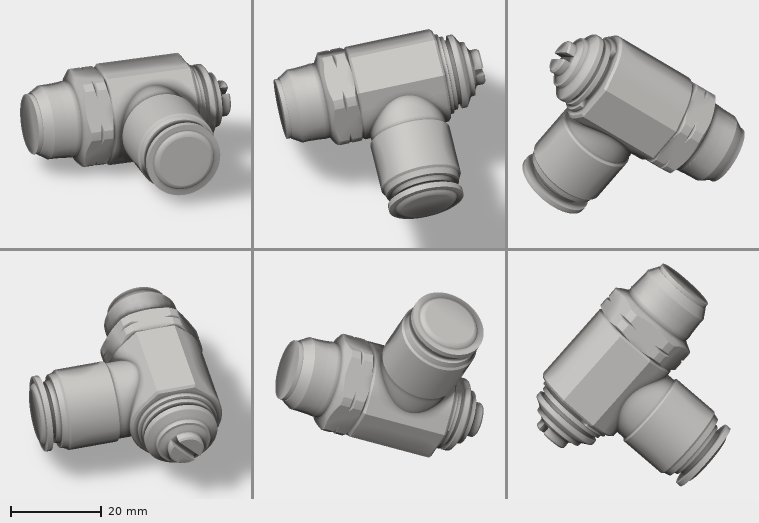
import cadquery as cq
import math


overall_length_y = 45.81
overall_length_x = 40.84

body_half_length = 10.0
body_radius = 10.5
body_chamfer = 0.5
corner_half_angle = math.radians(22.5)

nut_sides = 6
nut_end_y = -17.05
nut_across_flats = 20.0
nut_corner_radius = 11.0
nut_chamfer_angle = math.radians(30)
nut_rim_clearance = 0.55
nut_groove_root_radius = 10.35
nut_groove_y = -13.0

shank_radius = 8.5
shank_end_y = -18.0
thread_start_radius = 8.58
thread_gauge_radius = 8.35
thread_gauge_y = -20.35
thread_end_radius = 8.28
thread_end_y = -23.3
nose_cone_radius = 6.95
nose_radius = 6.76
nose_start_y = -25.5
nose_end_y = -26.53

collar_radius = 9.0
collar_end_y = 11.0
flange_start_y = 11.1
flange_radius = 8.28
flange_groove_radius = 7.25
flange_groove_start_y = 12.05
flange_groove_end_y = 13.05
flange_shoulder_y = 14.0
flange_cone_radius = 8.05
flange_cone_y = 14.4
hub_base_radius = 6.2
hub_base_y = 15.5
hub_top_radius = 6.05
hub_top_y = 16.5
cap_base_radius = 5.45
stem_radius = 4.0
stem_start_y = 17.3
stem_end_y = nose_end_y + overall_length_y
stem_chamfer = 0.4
stem_slot_width = 1.6
stem_slot_angle = 49.5

collar_gap_angle = 241.2
collar_gap_apex = 3.73
collar_gap_half_opening = math.radians(75.7)
collar_gap_reach = 2 * collar_radius

neck_radius = 8.5
neck_end_x = 12.43
socket_radius = 9.05
socket_start_x = 12.87
socket_end_x = 23.85
socket_ring_x = 24.3
socket_ring_radius = 8.6
socket_ring_end_radius = 8.27
socket_ring_end_x = 25.58
guide_start_radius = 7.17
guide_end_radius = 6.9
guide_end_x = 26.68
sleeve_radius = 6.02
sleeve_flare_x = 27.4
sleeve_flare_radius = 6.2
release_ring_radius = 8.5
release_ring_start_x = 27.83
release_ring_end_x = 29.05
release_lip_radius = 7.0
release_mid_radius = 6.6
release_mid_x = 29.5
release_end_radius = 5.9
release_end_x = overall_length_x - nut_corner_radius


def axial_prism(outline, start_y, end_y):
    """Extrude an XZ outline, given as (x, z) points, from start_y to end_y."""
    plane = cq.Workplane("XZ", origin=(0, end_y, 0))
    return plane.polyline(outline).close().extrude(end_y - start_y)


def axial_cylinder(radius, start_y, end_y):
    """Cylinder on the main axis."""
    return cq.Workplane("XZ", origin=(0, end_y, 0)).circle(radius).extrude(end_y - start_y)


def revolve_about_y(profile):
    """Revolve a closed (radius, y) profile about the main axis."""
    return profile.close().revolve(360, (0, 0, 0), (0, 1, 0))


def make_body():
    corner = body_radius * math.tan(corner_half_angle)
    tangent = body_radius * math.cos(2 * corner_half_angle)
    corners_outline = [
        (tangent, tangent),
        (corner, body_radius),
        (-corner, body_radius),
        (-tangent, tangent),
        (-tangent, -tangent),
        (-corner, -body_radius),
        (corner, -body_radius),
        (tangent, -tangent),
    ]
    outline = (
        cq.Workplane("XZ", origin=(0, body_half_length, 0))
        .polyline(corners_outline[:4])
        .threePointArc((-body_radius, 0), corners_outline[4])
        .polyline(corners_outline[4:])
        .threePointArc((body_radius, 0), corners_outline[0])
        .close()
    )
    body = outline.extrude(2 * body_half_length)
    return body.faces("<Y or >Y").chamfer(body_chamfer)


def make_nut():
    circumradius = nut_across_flats / 2 / math.cos(math.pi / nut_sides)
    corners = []
    for index in range(nut_sides):
        angle = 2 * math.pi * index / nut_sides
        corners.append((circumradius * math.cos(angle), circumradius * math.sin(angle)))
    hexagon = axial_prism(corners, nut_end_y, -body_half_length)

    chamfer_slope = math.tan(nut_chamfer_angle)
    rim_top_y = -body_half_length - nut_rim_clearance
    top_radius = nut_corner_radius - nut_rim_clearance / chamfer_slope
    rim_bottom_y = nut_end_y + (nut_corner_radius - shank_radius) * chamfer_slope
    groove_half_width = (nut_corner_radius - nut_groove_root_radius) * chamfer_slope
    envelope = (
        cq.Workplane("XY")
        .moveTo(0, -body_half_length)
        .lineTo(top_radius, -body_half_length)
        .lineTo(nut_corner_radius, rim_top_y)
        .lineTo(nut_corner_radius, nut_groove_y + groove_half_width)
        .lineTo(nut_groove_root_radius, nut_groove_y)
        .lineTo(nut_corner_radius, nut_groove_y - groove_half_width)
        .lineTo(nut_corner_radius, rim_bottom_y)
        .lineTo(shank_radius, nut_end_y)
        .lineTo(0, nut_end_y)
    )
    return hexagon.intersect(revolve_about_y(envelope))


def make_threaded_end():
    profile = (
        cq.Workplane("XY")
        .moveTo(0, nut_end_y)
        .lineTo(shank_radius, nut_end_y)
        .lineTo(shank_radius, shank_end_y)
        .lineTo(thread_start_radius, shank_end_y)
        .lineTo(thread_gauge_radius, thread_gauge_y)
        .lineTo(thread_end_radius, thread_end_y)
        .lineTo(nose_cone_radius, nose_start_y)
        .lineTo(nose_radius, nose_start_y)
        .lineTo(nose_radius, nose_end_y)
        .lineTo(0, nose_end_y)
    )
    return revolve_about_y(profile)


def make_collar():
    gap_x = collar_gap_reach * math.cos(collar_gap_half_opening)
    gap_z = collar_gap_reach * math.sin(collar_gap_half_opening)
    gap_outline = [
        (collar_gap_apex, 0),
        (collar_gap_apex + gap_x, gap_z),
        (collar_gap_apex + gap_x + collar_gap_reach, 0),
        (collar_gap_apex + gap_x, -gap_z),
    ]
    gap = axial_prism(gap_outline, body_half_length, collar_end_y)
    gap = gap.rotate((0, 0, 0), (0, 1, 0), -collar_gap_angle)
    return axial_cylinder(collar_radius, body_half_length, collar_end_y).cut(gap)


def make_knob():
    profile = (
        cq.Workplane("XY")
        .moveTo(0, body_half_length)
        .lineTo(flange_groove_radius, body_half_length)
        .lineTo(flange_groove_radius, flange_start_y)
        .lineTo(flange_radius, flange_start_y)
        .lineTo(flange_radius, flange_groove_start_y)
        .lineTo(flange_groove_radius, flange_groove_start_y)
        .lineTo(flange_groove_radius, flange_groove_end_y)
        .lineTo(flange_radius, flange_groove_end_y)
        .lineTo(flange_radius, flange_shoulder_y)
        .tangentArcPoint((flange_cone_radius, flange_cone_y), relative=False)
        .lineTo(hub_base_radius, hub_base_y)
        .lineTo(hub_top_radius, hub_top_y)
        .lineTo(cap_base_radius, hub_top_y)
        .lineTo(stem_radius, stem_start_y)
        .lineTo(stem_radius, stem_end_y - stem_chamfer)
        .lineTo(stem_radius - stem_chamfer, stem_end_y)
        .lineTo(0, stem_end_y)
    )
    slot_depth = stem_end_y - stem_start_y
    slot = cq.Workplane("XY").box(2 * cap_base_radius, slot_depth, stem_slot_width)
    slot = slot.rotate((0, 0, 0), (0, 1, 0), -stem_slot_angle)
    slot = slot.translate((0, stem_start_y + slot_depth / 2, 0))
    return revolve_about_y(profile).cut(slot)


def make_branch():
    profile = (
        cq.Workplane("XY")
        .lineTo(0, neck_radius)
        .lineTo(neck_end_x, neck_radius)
        .lineTo(socket_start_x, socket_radius)
        .lineTo(socket_end_x, socket_radius)
        .lineTo(socket_ring_x, socket_ring_radius)
        .lineTo(socket_ring_end_x, socket_ring_end_radius)
        .lineTo(socket_ring_end_x, guide_start_radius)
        .lineTo(guide_end_x, guide_end_radius)
        .lineTo(guide_end_x, sleeve_radius)
        .lineTo(sleeve_flare_x, sleeve_radius)
        .lineTo(release_ring_start_x, sleeve_flare_radius)
        .lineTo(release_ring_start_x, release_ring_radius)
        .lineTo(release_ring_end_x, release_ring_radius)
        .lineTo(release_ring_end_x, release_lip_radius)
        .threePointArc((release_mid_x, release_mid_radius), (release_end_x, release_end_radius))
        .lineTo(release_end_x, 0)
        .close()
    )
    return profile.revolve(360, (0, 0, 0), (1, 0, 0))


result = (
    make_body()
    .union(make_nut())
    .union(make_threaded_end())
    .union(make_knob())
    .union(make_collar())
    .union(make_branch())
)